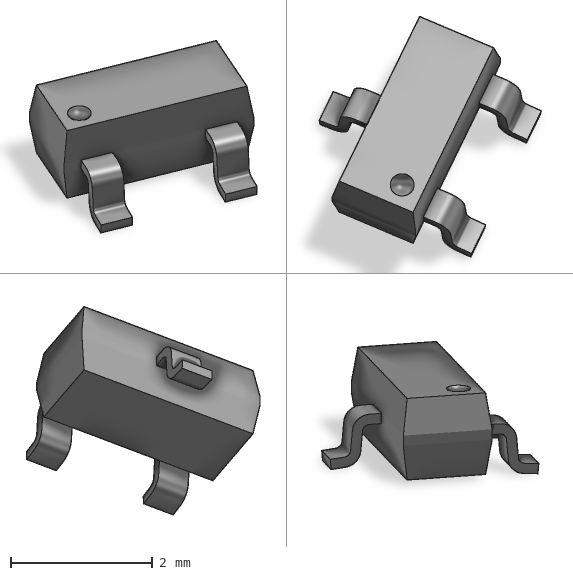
import cadquery as cq
import math

body_width = 1.3
body_length = 2.9
body_height = 1.2
band_height = 0.15
taper_inset = 0.075

overall_width = 2.8
standoff = 0.1
lead_thickness = band_height
lead_width = 0.48
lead_offset = 0.95
bend_radius = 0.175
foot_length = 0.21
lean_degrees = 5.0
lead_embed = 0.058

dimple_radius = 0.168
dimple_depth = 0.1
dimple_x = 0.26
dimple_y = -1.058

band_middle = standoff + body_height / 2
body_top = standoff + body_height


def tapered_half(direction):
    """Tapered block from the edge of the band; direction is 1 for up, -1 for down."""
    half_height = (body_height - band_height) / 2
    base_z = band_middle + direction * band_height / 2
    return (
        cq.Workplane("XY", origin=(0, 0, base_z))
        .rect(body_width, body_length)
        .workplane(offset=direction * half_height)
        .rect(body_width - 2 * taper_inset, body_length - 2 * taper_inset)
        .loft(ruled=True)
    )


def make_lead():
    """Gull-wing lead on the +X side, centred on Y = 0, with its toe at Z = 0."""
    lean = math.radians(lean_degrees)
    steep = math.pi / 2 - lean
    middle = (steep / 2, (steep + lean) / 2)

    toe_x = overall_width / 2 - lead_thickness / 2 * math.sin(lean)
    toe_z = lead_thickness / 2 * math.cos(lean)
    heel_x = toe_x - foot_length * math.cos(lean)
    heel_z = toe_z + foot_length * math.sin(lean)
    lower_center_x = heel_x + bend_radius * math.sin(lean)
    lower_center_z = heel_z + bend_radius * math.cos(lean)

    def lower_bend(heading):
        return (
            lower_center_x - bend_radius * math.sin(heading),
            lower_center_z - bend_radius * math.cos(heading),
        )

    ankle_x, ankle_z = lower_bend(steep)
    upper_center_z = band_middle - bend_radius
    knee_z = upper_center_z + bend_radius * math.cos(steep)
    knee_x = ankle_x - (knee_z - ankle_z) * math.tan(lean)
    upper_center_x = knee_x - bend_radius * math.sin(steep)

    def upper_bend(heading):
        return (
            upper_center_x + bend_radius * math.sin(heading),
            upper_center_z + bend_radius * math.cos(heading),
        )

    root_x = body_width / 2 - lead_embed
    centreline = (
        cq.Workplane("XZ")
        .moveTo(root_x, band_middle)
        .lineTo(*upper_bend(0))
        .threePointArc(upper_bend(middle[0]), upper_bend(steep))
        .lineTo(ankle_x, ankle_z)
        .threePointArc(lower_bend(middle[1]), (heel_x, heel_z))
        .lineTo(toe_x, toe_z)
    )
    return (
        cq.Workplane("YZ", origin=(root_x, 0, band_middle))
        .rect(lead_width, lead_thickness)
        .sweep(centreline)
    )


band = cq.Workplane("XY", origin=(0, 0, band_middle)).box(body_width, body_length, band_height)
body = band.union(tapered_half(1)).union(tapered_half(-1))

sphere_radius = (dimple_radius**2 + dimple_depth**2) / (2 * dimple_depth)
sphere_center_z = body_top - dimple_depth + sphere_radius
dimple = cq.Workplane("XY").sphere(sphere_radius).translate((dimple_x, dimple_y, sphere_center_z))
body = body.cut(dimple)

lead = make_lead()
result = body.union(lead.rotate((0, 0, 0), (0, 0, 1), 180))
for side in (-1, 1):
    result = result.union(lead.translate((0, side * lead_offset, 0)))